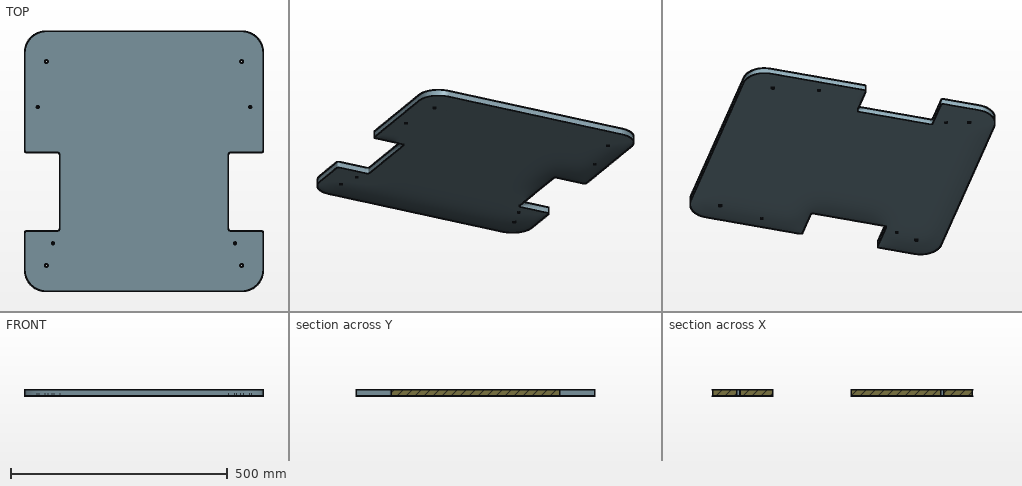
import cadquery as cq

width = 550.0
depth = 600.0
thickness = 15.0
outer_corner_radius = 50.0

notch_depth = 80.5
notch_front = -160.0
notch_back = 20.0
notch_corner_radius = 5.0

large_hole_diameter = 6.5
large_hole_places = [(225.0, 230.0), (225.0, -240.0)]
small_hole_diameter = 5.0
small_hole_places = [(245.0, 125.0), (210.0, -189.0)]


def make_plate():
    plate = cq.Workplane("XY").box(width, depth, thickness, centered=(True, True, False))
    return plate.edges("|Z").fillet(outer_corner_radius)


def make_notched_plate():
    """Cut both side notches, then round their inner and outer corners."""
    plate = make_plate()
    notch_length = notch_back - notch_front
    notch_middle = (notch_back + notch_front) / 2
    notches = (
        cq.Workplane("XY")
        .pushPoints([(-width / 2, notch_middle), (width / 2, notch_middle)])
        .rect(2 * notch_depth, notch_length)
        .extrude(thickness)
    )
    notch_corners = cq.selectors.BoxSelector(
        (-width, notch_front - 2 * notch_corner_radius, -thickness),
        (width, notch_back + 2 * notch_corner_radius, 2 * thickness),
    )
    return plate.cut(notches).edges("|Z").edges(notch_corners).fillet(notch_corner_radius)


def drill_mirrored(plate, places, diameter):
    points = [(side * x, y) for x, y in places for side in (-1, 1)]
    drills = cq.Workplane("XY").pushPoints(points).circle(diameter / 2).extrude(thickness)
    return plate.cut(drills)


result = make_notched_plate()
result = drill_mirrored(result, large_hole_places, large_hole_diameter)
result = drill_mirrored(result, small_hole_places, small_hole_diameter)